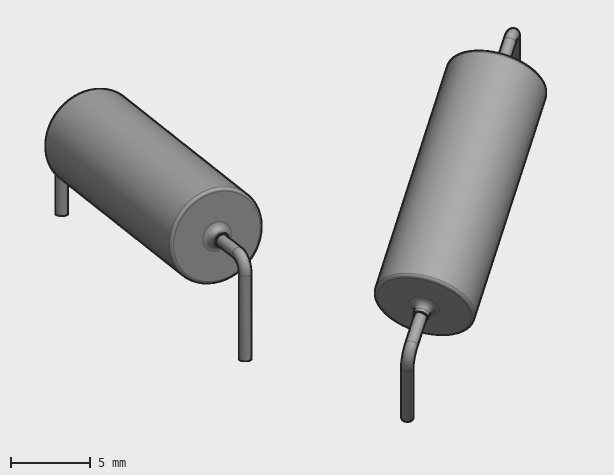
import cadquery as cq

overall_length = 26.2
overall_height = 10.1

housing_diameter = 6.5
housing_length = 17.5
edge_radius = 0.2

collar_diameter = 1.0
collar_length = 0.25
flare_radius = 0.5

lead_diameter = 0.8
bend_radius = 1.0

housing_radius = housing_diameter / 2
collar_radius = collar_diameter / 2
housing_end = housing_length / 2
collar_start = housing_end + flare_radius
collar_end = collar_start + collar_length
lead_x = (overall_length - lead_diameter) / 2
lead_bottom = housing_radius - overall_height


def make_neck(side):
    """Flare and collar on the end face at side -1 (-X) or +1 (+X)."""
    flare_mid_x = collar_start - flare_radius * 0.5 ** 0.5
    flare_mid_radius = collar_radius + flare_radius * (1 - 0.5 ** 0.5)
    profile = (
        cq.Workplane("XY")
        .moveTo(side * housing_end, 0)
        .lineTo(side * housing_end, collar_radius + flare_radius)
        .threePointArc((side * flare_mid_x, flare_mid_radius), (side * collar_start, collar_radius))
        .lineTo(side * collar_end, collar_radius)
        .lineTo(side * collar_end, 0)
        .close()
    )
    return profile.revolve(360, (0, 0, 0), (1, 0, 0))


def make_housing():
    """Round-edged cylinder with a neck on each end."""
    cylinder = (
        cq.Workplane("YZ", origin=(-housing_end, 0, 0))
        .circle(housing_radius)
        .extrude(housing_length)
        .edges("%CIRCLE")
        .fillet(edge_radius)
    )
    return cylinder.union(make_neck(-1)).union(make_neck(1)).solids()


def make_lead(side):
    """Round wire from the collar face, bent down toward -Z."""
    bend_start = lead_x - bend_radius
    bend_mid_x = bend_start + bend_radius * 0.5 ** 0.5
    bend_mid_z = -bend_radius * (1 - 0.5 ** 0.5)
    path = (
        cq.Workplane("XZ")
        .moveTo(side * collar_end, 0)
        .lineTo(side * bend_start, 0)
        .threePointArc((side * bend_mid_x, bend_mid_z), (side * lead_x, -bend_radius))
        .lineTo(side * lead_x, lead_bottom)
    )
    section = cq.Workplane("YZ", origin=(side * collar_end, 0, 0)).circle(lead_diameter / 2)
    return section.sweep(path)


housing = make_housing()
leads = [make_lead(side) for side in (-1, 1)]

result = cq.Compound.makeCompound([housing.val(), *[lead.val() for lead in leads]])